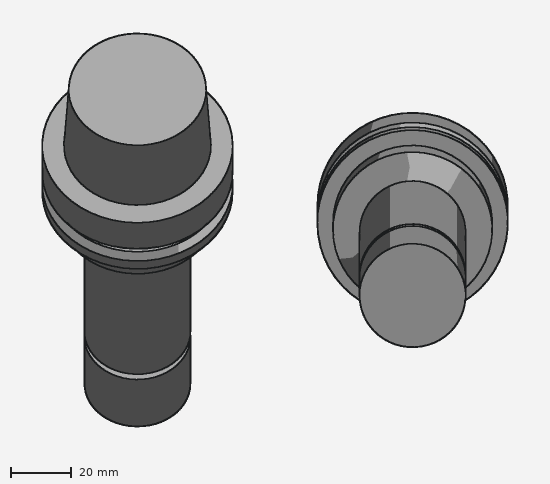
import cadquery as cq

TOTAL_HEIGHT = 167.0
NECK_BOTTOM = 26.7
NECK_TOP = 29.7
CONE_BOTTOM = 94.5
COLLAR_BOTTOM = 99.0
FLANGE_BOTTOM = 109.0
GROOVE_BOTTOM = 115.0
GROOVE_TOP = 118.9
FLANGE_TOP = 135.3

SHANK_DIAMETER = 35.0
NECK_DIAMETER = 27.0
COLLAR_DIAMETER = 52.6
FLANGE_DIAMETER = 63.0
GROOVE_DIAMETER = 55.0
TAPER_BASE_DIAMETER = 48.6
TAPER_TOP_DIAMETER = 45.5

CHAMFER_WIDTH = 2.7
CHAMFER_HEIGHT = 1.5


def make_holder():
    """Shank, collar, grooved flange and clamping taper, revolved about Z."""
    shank_radius = SHANK_DIAMETER / 2
    collar_radius = COLLAR_DIAMETER / 2
    flange_radius = FLANGE_DIAMETER / 2
    groove_radius = GROOVE_DIAMETER / 2
    chamfered_radius = flange_radius - CHAMFER_WIDTH
    profile = [
        (0, NECK_TOP),
        (shank_radius, NECK_TOP),
        (shank_radius, CONE_BOTTOM),
        (collar_radius, COLLAR_BOTTOM),
        (collar_radius, FLANGE_BOTTOM),
        (flange_radius, FLANGE_BOTTOM),
        (flange_radius, GROOVE_BOTTOM - CHAMFER_HEIGHT),
        (chamfered_radius, GROOVE_BOTTOM),
        (groove_radius, GROOVE_BOTTOM),
        (groove_radius, GROOVE_TOP),
        (chamfered_radius, GROOVE_TOP),
        (flange_radius, GROOVE_TOP + CHAMFER_HEIGHT),
        (flange_radius, FLANGE_TOP),
        (TAPER_BASE_DIAMETER / 2, FLANGE_TOP),
        (TAPER_TOP_DIAMETER / 2, TOTAL_HEIGHT),
        (0, TOTAL_HEIGHT),
    ]
    return cq.Workplane("XZ").polyline(profile).close().revolve(360, (0, 0, 0), (0, 1, 0))


def make_end_piece():
    """Cylindrical end piece whose narrower neck meets the lower face of the holder."""
    body = cq.Workplane("XY").circle(SHANK_DIAMETER / 2).extrude(NECK_BOTTOM)
    return body.faces(">Z").workplane().circle(NECK_DIAMETER / 2).extrude(NECK_TOP - NECK_BOTTOM)


holder = make_holder()
end_piece = make_end_piece()

result = cq.Compound.makeCompound([holder.val(), end_piece.val()])